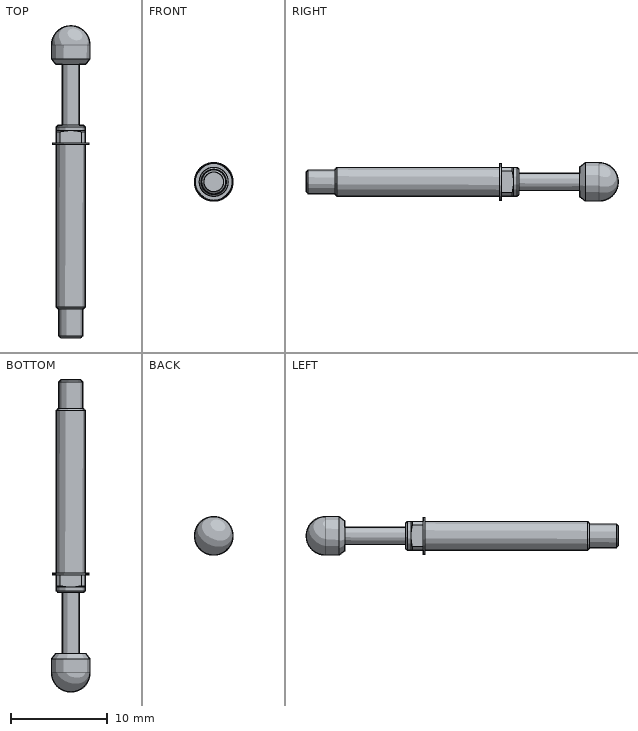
import cadquery as cq
import math


overall_length = 32.3
head_length = 4.0
head_chamfer_length = 0.58
stem_length = 6.27
sleeve_length = 0.58
square_length = 1.25
flange_thickness = 0.2
tail_length = 3.0

head_diameter = 4.0
stem_diameter = 1.8
barrel_diameter = 3.0
flange_diameter = 3.8
corner_diameter = 3.75
tail_diameter = 2.5

head_chamfer_depth = 0.45
barrel_chamfer = 0.2
tail_chamfer = 0.23
square_chamfer_angle = 20.0

head_radius = head_diameter / 2
stem_radius = stem_diameter / 2
barrel_radius = barrel_diameter / 2
flange_radius = flange_diameter / 2
corner_radius = corner_diameter / 2
tail_radius = tail_diameter / 2

square_start = flange_thickness
square_end = square_start + square_length
sleeve_end = square_end + sleeve_length
head_start = sleeve_end + stem_length
head_end = head_start + head_length
tail_end = head_end - overall_length
barrel_end = tail_end + tail_length


def make_head():
    """Domed head: hemisphere, short cylinder and a bevelled back edge."""
    dome_start = head_end - head_radius
    dome_middle = head_radius * math.sqrt(0.5)
    return (
        cq.Workplane("XY")
        .moveTo(0, head_start)
        .lineTo(head_radius - head_chamfer_depth, head_start)
        .lineTo(head_radius, head_start + head_chamfer_length)
        .lineTo(head_radius, dome_start)
        .threePointArc((dome_middle, dome_start + dome_middle), (0, head_end))
        .close()
        .revolve(360, (0, 0, 0), (0, 1, 0))
    )


def make_rod(radius, start, end, start_chamfer=0.0, end_chamfer=0.0):
    """Round rod on the Y axis, with an optional chamfer at either end."""
    rod = cq.Workplane("XZ", origin=(0, end, 0)).circle(radius).extrude(end - start)
    if start_chamfer:
        rod = rod.faces("<Y").chamfer(start_chamfer)
    if end_chamfer:
        rod = rod.faces(">Y").chamfer(end_chamfer)
    return rod


def make_square_collar():
    """Square wrench collar as wide as the barrel, its corners turned round."""
    cone_length = (corner_radius - barrel_radius) * math.tan(math.radians(square_chamfer_angle))
    turned_blank = (
        cq.Workplane("XY")
        .moveTo(0, square_start)
        .lineTo(corner_radius, square_start)
        .lineTo(corner_radius, square_end - cone_length)
        .lineTo(barrel_radius, square_end)
        .lineTo(0, square_end)
        .close()
        .revolve(360, (0, 0, 0), (0, 1, 0))
    )
    square_bar = (
        cq.Workplane("XZ", origin=(0, square_end, 0))
        .rect(barrel_diameter, barrel_diameter)
        .extrude(square_length)
    )
    return turned_blank.intersect(square_bar)


barrel = make_rod(barrel_radius, barrel_end, sleeve_end, barrel_chamfer, barrel_chamfer)
flange = make_rod(flange_radius, 0, flange_thickness)
stem = make_rod(stem_radius, sleeve_end, head_start)
tail = make_rod(tail_radius, tail_end, barrel_end, start_chamfer=tail_chamfer)

result = (
    barrel
    .union(make_square_collar())
    .union(flange)
    .union(stem)
    .union(make_head())
    .union(tail)
)